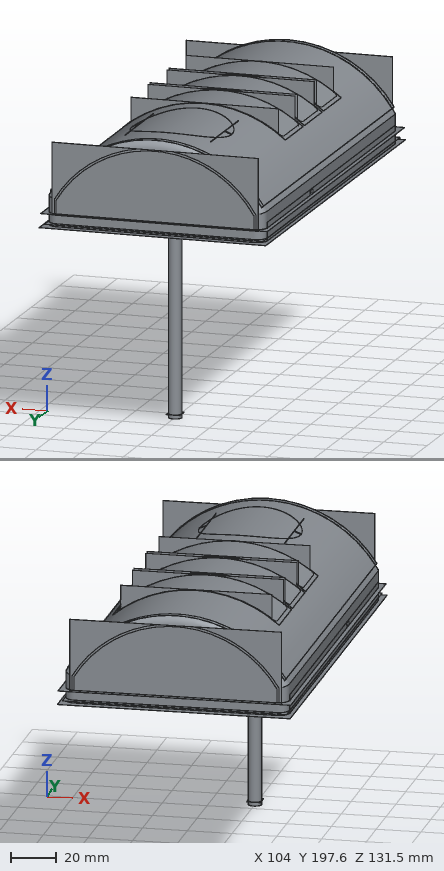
import cadquery as cq

WIDTH = 100.0
LENGTH = 189.8
DOME_TOP = 42.8
DOME_RADIUS = 57.6
DOME_AXIS_Z = DOME_TOP - DOME_RADIUS
END_ROUNDING = 4.6
PRISM_HEIGHT = DOME_TOP + 1.0

SHEET = 0.1

SKIN_LENGTH = 187.4
SKIN_WIDTH = 97.0
SKIN_OVERLAP = 0.02

END_FIN_WIDTH = 94.6
END_FIN_BOTTOM = 5.8
END_FIN_TOP = 38.6

BACK_FLANGE = (104.0, 197.6, 0.0, 0.7)
LIP_FLANGE = (WIDTH + 2 * SHEET, 194.4, 0.0, 2.0)
SEAM_Z = 6.5
SEAM_FLANGE = (104.0, 194.2, -0.5, SEAM_Z)

BAND_BOTTOM = 0.3
BAND_TOP = 9.0
NOTCH_LENGTH = 4.0
NOTCH_HEIGHT = 2.0
NOTCH_DEPTH = 1.0
NOTCH_Y = 27.7

SPEAKER_RADIUS = 22.7
SPEAKER_Y = 57.0
STRIP_X = 19.6
STRIP_LENGTH = 39.5
TAB_LENGTH = 3.2
TAB_WIDTH = 0.9

CABLE_DIAMETER = 6.0
CABLE_Y = 66.6
CABLE_BOTTOM = -88.51
CABLE_PLATE_Z = -86.75
CABLE_PLATE_SIDE = 6.24

BUTTON_COUNT = 3
BUTTON_PITCH = 27.0
FIRST_BUTTON_Y = 13.0
BUTTON_WIDTH = 71.5
BUTTON_LENGTH = 24.0
BUTTON_CORNER = 2.0
BUTTON_DEPTH = 3.0
BUTTON_SKIN_WIDTH = 74.4
BUTTON_SKIN_LENGTH = 25.0
BUTTON_FIN_WIDTH = 67.6
BUTTON_FIN_TOP = 43.0


def block(width, length, height, x, y, bottom):
    """Box centred on (x, y), standing on the level `bottom`."""
    base = cq.Workplane("XY", origin=(x, y, bottom))
    return base.box(width, length, height, centered=(True, True, False))


def dome_cylinder(offset, length=LENGTH):
    """Cylinder concentric with the dome, larger by `offset`, centred along Y."""
    return (
        cq.Workplane("XZ", origin=(0, length / 2, DOME_AXIS_Z))
        .circle(DOME_RADIUS + offset)
        .extrude(length)
    )


def dome_shell(inner_offset, outer_offset, length=LENGTH):
    """Tube between two cylinders concentric with the dome."""
    return dome_cylinder(outer_offset, length).cut(dome_cylinder(inner_offset, 2 * length))


def on_dome(footprint, inner_offset, outer_offset):
    """The part of an upright prism that lies between two cylinders concentric with the dome."""
    return footprint.intersect(dome_shell(inner_offset, outer_offset))


def upright(width, length, x, y):
    """Upright prism from the base level to above the dome."""
    return block(width, length, PRISM_HEIGHT, x, y, 0)


def flange(width, length, y, top):
    """Thin rectangular sheet whose upper face is at the level `top`."""
    return block(width, length, SHEET, 0, y, top - SHEET)


def housing_core():
    """Block with rounded corners under a dome with rounded ends, set in from the side bands."""
    walls = upright(WIDTH - 2 * SHEET, LENGTH, 0, 0).edges("|Z").fillet(END_ROUNDING)
    dome = dome_cylinder(0).edges("%CIRCLE").fillet(END_ROUNDING)
    return walls.intersect(dome)


def side_bands():
    """Raised strips along the straight part of both sides, joined through the core."""
    return block(WIDTH, LENGTH - 2 * END_ROUNDING, BAND_TOP - BAND_BOTTOM, 0, 0, BAND_BOTTOM)


def dome_skin():
    """Thin curved skin along the whole dome, overhanging the rounded ends."""
    footprint = upright(SKIN_WIDTH, SKIN_LENGTH, 0, 0)
    return on_dome(footprint, -SKIN_OVERLAP, SHEET)


def end_fin(side):
    """Upright fin on an end face, carrying a thin panel with an arched top."""
    height = END_FIN_TOP - END_FIN_BOTTOM
    fin = block(END_FIN_WIDTH, 2 * SHEET, height, 0, side * LENGTH / 2, END_FIN_BOTTOM)
    panel_width = WIDTH - 2 * END_ROUNDING
    panel = block(panel_width, 3 * SHEET, height, 0, side * LENGTH / 2, END_FIN_BOTTOM)
    return fin.union(panel.intersect(dome_cylinder(-END_ROUNDING, 2 * LENGTH)))


def side_notch(side):
    """Small pocket cut into a side band, just above the seam flange."""
    x = side * (WIDTH - NOTCH_DEPTH) / 2
    return block(NOTCH_DEPTH, NOTCH_LENGTH, NOTCH_HEIGHT, x, NOTCH_Y, SEAM_Z)


def speaker():
    """Disc with a narrow strip and a small tab at each side, all lying on the dome skin."""
    disc = cq.Workplane("XY").center(0, SPEAKER_Y).circle(SPEAKER_RADIUS).extrude(PRISM_HEIGHT)
    details = on_dome(disc, 0, 2 * SHEET)
    for side in (-1, 1):
        strip = upright(SHEET, STRIP_LENGTH, side * STRIP_X, SPEAKER_Y)
        tab = upright(TAB_LENGTH, TAB_WIDTH, side * (STRIP_X + TAB_LENGTH / 2), SPEAKER_Y)
        details = details.union(on_dome(strip.union(tab), 0, 3 * SHEET))
    return details


def cable():
    """Straight cable hanging from the back, with a thin square plate near its end."""
    cord = (
        cq.Workplane("XY", origin=(0, CABLE_Y, CABLE_BOTTOM))
        .circle(CABLE_DIAMETER / 2)
        .extrude(-CABLE_BOTTOM + SHEET)
    )
    return cord.union(block(CABLE_PLATE_SIDE, CABLE_PLATE_SIDE, SHEET, 0, CABLE_Y, CABLE_PLATE_Z))


def button(y):
    """Rounded key flush with the dome, with a thin overlapping skin and a fin along each end."""
    key = upright(BUTTON_WIDTH, BUTTON_LENGTH, 0, y).edges("|Z").fillet(BUTTON_CORNER)
    body = on_dome(key, -BUTTON_DEPTH, 2 * SHEET)
    skin = upright(BUTTON_SKIN_WIDTH, BUTTON_SKIN_LENGTH, 0, y)
    body = body.union(on_dome(skin, SHEET, 2 * SHEET))
    for side in (-1, 1):
        fin_y = y + side * (BUTTON_LENGTH - SHEET) / 2
        fin = block(BUTTON_FIN_WIDTH, SHEET, BUTTON_FIN_TOP, 0, fin_y, 0)
        body = body.union(fin.cut(dome_cylinder(-BUTTON_DEPTH)))
    return body


housing = housing_core().union(side_bands()).union(dome_skin())
for end in (-1, 1):
    housing = housing.union(end_fin(end))
    housing = housing.cut(side_notch(end))
for sizes in (BACK_FLANGE, LIP_FLANGE, SEAM_FLANGE):
    housing = housing.union(flange(*sizes))
housing = housing.union(speaker()).union(cable())

buttons = [button(FIRST_BUTTON_Y - i * BUTTON_PITCH) for i in range(BUTTON_COUNT)]
for key in buttons:
    housing = housing.cut(key)

result = cq.Compound.makeCompound([housing.solids().val(), *[key.solids().val() for key in buttons]])